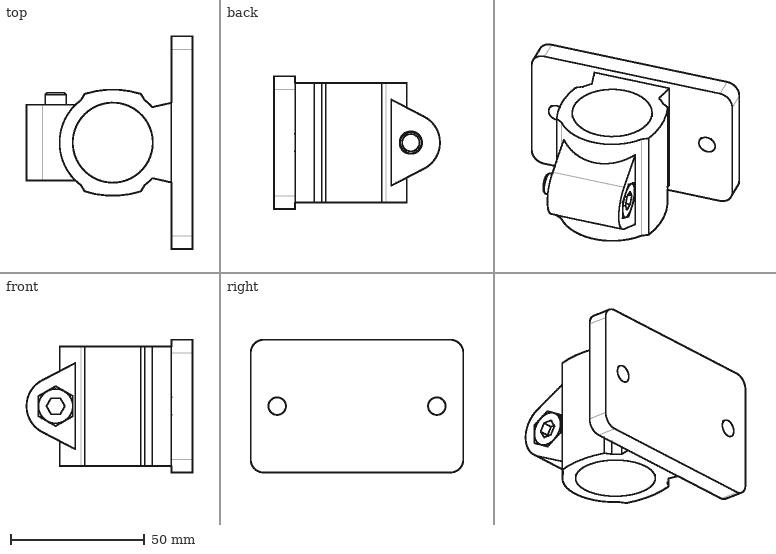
import cadquery as cq
import math


PLATE_FRONT_X = 22.0
PLATE_THICKNESS = 8.0
PLATE_WIDTH = 80.0
PLATE_HEIGHT = 50.0
PLATE_CORNER_RADIUS = 5.0
PLATE_HOLE_DIAMETER = 6.5
PLATE_HOLE_SPACING = 60.0

BORE_DIAMETER = 30.0
SLEEVE_RADIUS = 20.0
SLEEVE_HEIGHT = 45.0
PAD_FOOT_HALF_LENGTH = 12.0
PAD_EDGE_HALF_LENGTH = 10.55
PAD_EDGE_Y = 18.35
PAD_FOOT_Y = math.sqrt(SLEEVE_RADIUS**2 - PAD_FOOT_HALF_LENGTH**2)

NECK_START_X = 14.85
NECK_START_Y = math.sqrt(SLEEVE_RADIUS**2 - NECK_START_X**2)
NECK_PLATE_Y = 15.0

LUG_AXIS_X = -21.46
LUG_RADIUS = 11.0
LUG_WIDTH = 28.5
LUG_FLANK_ANGLE = math.radians(27.3)
LUG_FRONT_Y = -LUG_WIDTH / 2

HEX_SEAT_ACROSS_FLATS = 13.0
HEX_SEAT_TURN = 30.0
BOLT_CLEARANCE_DIAMETER = 8.5
BOLT_DIAMETER = 8.0
BOLT_LENGTH = 25.0
BOLT_TIP_CHAMFER = 0.75
HEAD_DIAMETER = 12.9
HEAD_HEIGHT = 8.0
SOCKET_ACROSS_FLATS = 6.0
SOCKET_DEPTH = 4.0
SOCKET_TURN = 0.0


def hexagon_prism(across_flats, depth, turn):
    """Hexagonal prism on the bolt axis, running from the lug's front face toward +Y."""
    across_corners = across_flats / math.cos(math.pi / 6)
    return (
        cq.Workplane("XY")
        .polygon(6, across_corners)
        .extrude(depth)
        .rotate((0, 0, 0), (0, 0, 1), turn)
        .rotate((0, 0, 0), (1, 0, 0), -90)
        .translate((LUG_AXIS_X, LUG_FRONT_Y, 0))
    )


def bolt_axis_cylinder(diameter, start_y, length):
    """Cylinder on the bolt axis, running from start_y toward +Y."""
    plane = cq.Plane(origin=(LUG_AXIS_X, start_y, 0), xDir=(1, 0, 0), normal=(0, 1, 0))
    return cq.Workplane(plane).circle(diameter / 2).extrude(length)


def make_plate():
    """Rounded mounting plate with two through holes."""
    return (
        cq.Workplane("YZ", origin=(PLATE_FRONT_X, 0, 0))
        .rect(PLATE_WIDTH, PLATE_HEIGHT)
        .extrude(PLATE_THICKNESS)
        .edges("|X")
        .fillet(PLATE_CORNER_RADIUS)
        .faces("<X")
        .workplane(centerOption="CenterOfBoundBox")
        .pushPoints([(-PLATE_HOLE_SPACING / 2, 0), (PLATE_HOLE_SPACING / 2, 0)])
        .hole(PLATE_HOLE_DIAMETER)
    )


def make_sleeve():
    """Round sleeve with a flatter curved pad on its +Y and -Y sides."""
    profile_plane = cq.Workplane("XY", origin=(0, 0, -SLEEVE_HEIGHT / 2))
    sleeve = profile_plane.circle(SLEEVE_RADIUS).extrude(SLEEVE_HEIGHT)
    for side in (1, -1):
        pad = (
            profile_plane.moveTo(-PAD_FOOT_HALF_LENGTH, side * PAD_FOOT_Y)
            .lineTo(-PAD_EDGE_HALF_LENGTH, side * PAD_EDGE_Y)
            .threePointArc((0, side * SLEEVE_RADIUS), (PAD_EDGE_HALF_LENGTH, side * PAD_EDGE_Y))
            .lineTo(PAD_FOOT_HALF_LENGTH, side * PAD_FOOT_Y)
            .close()
            .extrude(SLEEVE_HEIGHT)
        )
        sleeve = sleeve.union(pad)
    return sleeve


def make_neck():
    """Web that widens from the sleeve to the plate."""
    return (
        cq.Workplane("XY", origin=(0, 0, -SLEEVE_HEIGHT / 2))
        .polyline([
            (NECK_START_X, -NECK_START_Y),
            (PLATE_FRONT_X, -NECK_PLATE_Y),
            (PLATE_FRONT_X, NECK_PLATE_Y),
            (NECK_START_X, NECK_START_Y),
        ])
        .close()
        .extrude(SLEEVE_HEIGHT)
    )


def make_lug():
    """Rounded lug whose flanks leave the nose tangentially and widen toward the sleeve."""
    tangent_x = LUG_AXIS_X - LUG_RADIUS * math.sin(LUG_FLANK_ANGLE)
    tangent_z = LUG_RADIUS * math.cos(LUG_FLANK_ANGLE)
    root_x = -math.sqrt(SLEEVE_RADIUS**2 - (LUG_WIDTH / 2) ** 2)
    root_z = tangent_z + (root_x - tangent_x) * math.tan(LUG_FLANK_ANGLE)
    return (
        cq.Workplane("XZ")
        .moveTo(root_x, -root_z)
        .lineTo(tangent_x, -tangent_z)
        .threePointArc((LUG_AXIS_X - LUG_RADIUS, 0), (tangent_x, tangent_z))
        .lineTo(root_x, root_z)
        .close()
        .extrude(LUG_WIDTH / 2, both=True)
    )


def make_bolt():
    """Socket head bolt with its head flush with the lug's front face."""
    shank_start_y = LUG_FRONT_Y + HEAD_HEIGHT
    head = bolt_axis_cylinder(HEAD_DIAMETER, LUG_FRONT_Y, HEAD_HEIGHT)
    shank = bolt_axis_cylinder(BOLT_DIAMETER, shank_start_y, BOLT_LENGTH)
    shank = shank.faces(">Y").chamfer(BOLT_TIP_CHAMFER)
    return head.union(shank).cut(hexagon_prism(SOCKET_ACROSS_FLATS, SOCKET_DEPTH, SOCKET_TURN))


bore = cq.Workplane("XY").circle(BORE_DIAMETER / 2).extrude(SLEEVE_HEIGHT / 2, both=True)

body = make_plate().union(make_neck()).union(make_sleeve()).union(make_lug()).cut(bore)
body = body.cut(hexagon_prism(HEX_SEAT_ACROSS_FLATS, HEAD_HEIGHT, HEX_SEAT_TURN))
body = body.cut(bolt_axis_cylinder(BOLT_CLEARANCE_DIAMETER, LUG_FRONT_Y, LUG_WIDTH))

result = body.union(make_bolt())